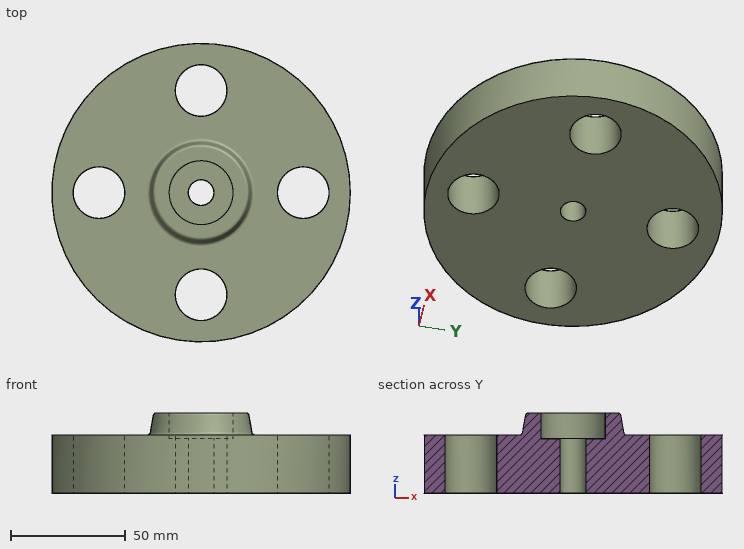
import cadquery as cq

flange_diameter = 130.0
flange_thickness = 25.5

total_height = 35.1
hub_height = total_height - flange_thickness
hub_base_diameter = 44.7
hub_top_diameter = 41.3
hub_root_fillet = 1.3
hub_rim_fillet = 1.3

socket_diameter = 27.8
socket_depth = 11.2
bore_diameter = 11.0

bolt_hole_count = 4
bolt_hole_diameter = 22.4
bolt_circle_diameter = 88.9


def make_flange():
    return cq.Workplane("XY").circle(flange_diameter / 2).extrude(flange_thickness)


def add_hub(body):
    hub = (
        cq.Workplane("XY", origin=(0, 0, flange_thickness))
        .circle(hub_base_diameter / 2)
        .workplane(offset=hub_height)
        .circle(hub_top_diameter / 2)
        .loft()
    )
    hub = hub.faces(">Z").edges().fillet(hub_rim_fillet)
    body = body.union(hub)
    root_edge = cq.selectors.RadiusNthSelector(0)
    return body.faces("|Z").faces("not(<Z or >Z)").edges(root_edge).fillet(hub_root_fillet)


def cut_bore(body):
    body = body.faces(">Z").workplane()
    return body.cboreHole(bore_diameter, socket_diameter, socket_depth)


def cut_bolt_holes(body):
    holes = (
        cq.Workplane("XY")
        .polarArray(bolt_circle_diameter / 2, 0, 360, bolt_hole_count)
        .circle(bolt_hole_diameter / 2)
        .extrude(flange_thickness)
    )
    return body.cut(holes)


result = cut_bolt_holes(cut_bore(add_hub(make_flange())))